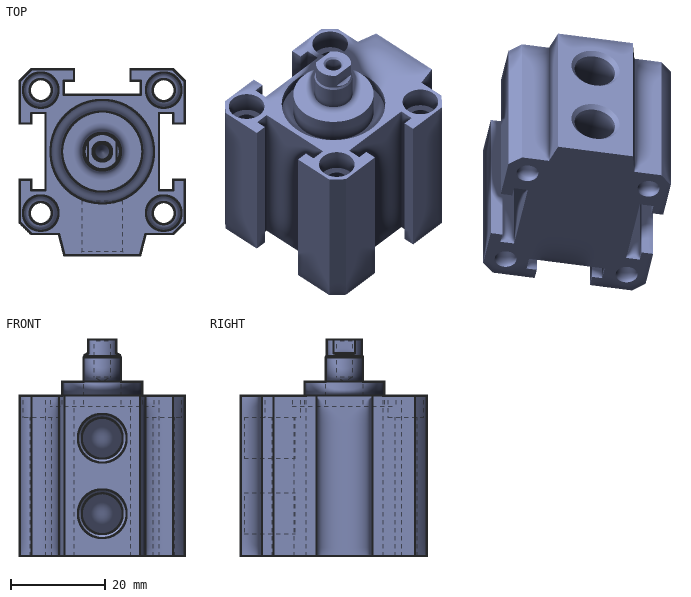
import cadquery as cq
import math

block_width = 35.0
block_height = 34.05
corner_chamfer = 2.5
half_block = block_width / 2

slot_mouth_width = 11.9
slot_inner_width = 16.3
slot_lip = 2.5
slot_depth = 5.45

overall_depth = 39.5
boss_height = overall_depth - block_width
boss_base_width = 18.4
boss_tip_width = 16.1

mount_spacing = 26.1
mount_diameter = 4.65
mount_bore_diameter = 7.55
mount_bore_depth = 4.6

port_diameter = 8.7
port_mouth_diameter = 10.35
port_depth = 11.5
port_heights = (9.0, 25.02)
port_chamfer = (port_mouth_diameter - port_diameter) / 2

recess_diameter = 22.0
recess_depth = 2.3
collar_diameter = 17.0
collar_height = 3.0
collar_top = block_height + collar_height
recess_floor = block_height - recess_depth

rod_top = 46.0
rod_diameter = 8.0
tip_diameter = 7.5
shoulder_height = 42.1
shoulder_rise = 0.4
flat_width = 6.0
flat_bottom = 43.05
flat_floor_angle = 30.0

tap_diameter = 3.4
tap_mouth_diameter = 4.2
tap_depth = 8.0
tap_chamfer = (tap_mouth_diameter - tap_diameter) / 2
drill_point_angle = 118.0


def slot_cutter(turn):
    """T-slot along the full height of the back side, turned about the rod axis."""
    mouth = cq.Workplane("XY").box(slot_mouth_width, slot_lip, block_height, centered=(True, False, False))
    inner_depth = slot_depth - slot_lip
    inner = cq.Workplane("XY").box(slot_inner_width, inner_depth, block_height, centered=(True, False, False))
    slot = mouth.translate((0, half_block - slot_lip, 0)).union(inner.translate((0, half_block - slot_depth, 0)))
    return slot.rotate((0, 0, 0), (0, 0, 1), turn)


def port_cutter(height):
    """Blind port with a chamfered mouth, drilled from the boss face toward +Y."""
    face_y = -half_block - boss_height
    profile = [
        (0, face_y),
        (port_mouth_diameter / 2, face_y),
        (port_diameter / 2, face_y + port_chamfer),
        (port_diameter / 2, face_y + port_depth),
        (0, face_y + port_depth),
    ]
    port = cq.Workplane("XY").polyline(profile).close().revolve(360, (0, 0, 0), (0, 1, 0))
    return port.translate((0, 0, height))


def make_housing():
    housing = cq.Workplane("XY").box(block_width, block_width, block_height, centered=(True, True, False))
    housing = housing.edges("|Z").chamfer(corner_chamfer)

    boss_outline = [
        (-boss_base_width / 2, -half_block),
        (-boss_tip_width / 2, -half_block - boss_height),
        (boss_tip_width / 2, -half_block - boss_height),
        (boss_base_width / 2, -half_block),
    ]
    housing = housing.union(cq.Workplane("XY").polyline(boss_outline).close().extrude(block_height))

    for turn in (-90, 0, 90):
        housing = housing.cut(slot_cutter(turn))

    housing = (
        housing.faces(">Z").workplane(origin=(0, 0, block_height))
        .rect(mount_spacing, mount_spacing, forConstruction=True).vertices()
        .cboreHole(mount_diameter, mount_bore_diameter, mount_bore_depth)
    )

    for height in port_heights:
        housing = housing.cut(port_cutter(height))

    floor_plane = cq.Workplane("XY", origin=(0, 0, recess_floor))
    housing = housing.cut(floor_plane.circle(recess_diameter / 2).extrude(recess_depth))
    housing = housing.union(floor_plane.circle(collar_diameter / 2).extrude(recess_depth + collar_height))

    return housing.cut(floor_plane.circle(rod_diameter / 2).extrude(collar_top - recess_floor))


def flat_cutter():
    """Material removed beside the wrench flat on the +X side, with a sloping floor."""
    flat_x = flat_width / 2
    outer_x = rod_diameter / 2
    floor_drop = (outer_x - flat_x) * math.tan(math.radians(flat_floor_angle))
    outline = [
        (flat_x, flat_bottom),
        (outer_x, flat_bottom - floor_drop),
        (outer_x, rod_top),
        (flat_x, rod_top),
    ]
    return cq.Workplane("XZ").polyline(outline).close().extrude(rod_diameter / 2, both=True)


def tapped_hole_cutter():
    """Hole with a chamfered mouth and a conical drill point."""
    point_height = tap_diameter / 2 / math.tan(math.radians(drill_point_angle / 2))
    profile = [
        (0, rod_top),
        (tap_mouth_diameter / 2, rod_top),
        (tap_diameter / 2, rod_top - tap_chamfer),
        (tap_diameter / 2, rod_top - tap_depth),
        (0, rod_top - tap_depth - point_height),
    ]
    return cq.Workplane("XZ").polyline(profile).close().revolve(360, (0, 0, 0), (0, 1, 0))


def make_rod():
    profile = [
        (0, recess_floor),
        (rod_diameter / 2, recess_floor),
        (rod_diameter / 2, shoulder_height),
        (tip_diameter / 2, shoulder_height + shoulder_rise),
        (tip_diameter / 2, rod_top),
        (0, rod_top),
    ]
    rod = cq.Workplane("XZ").polyline(profile).close().revolve(360, (0, 0, 0), (0, 1, 0))

    right_flat = flat_cutter()
    rod = rod.cut(right_flat).cut(right_flat.mirror("YZ"))

    return rod.cut(tapped_hole_cutter())


housing = make_housing()
rod = make_rod()

result = cq.Compound.makeCompound([housing.val(), rod.val()])